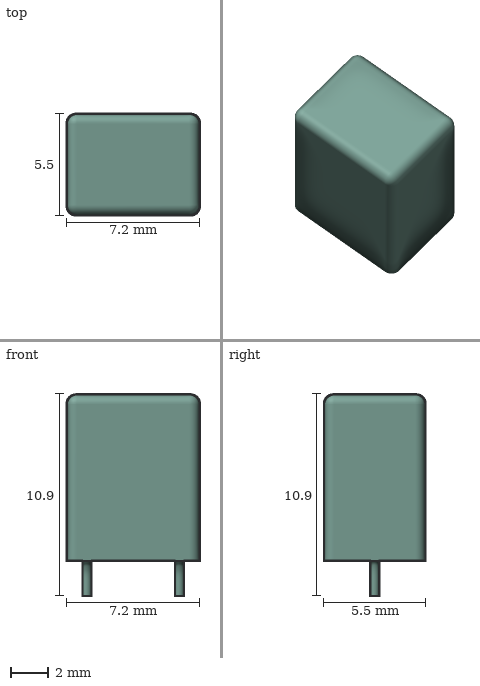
import cadquery as cq

body_width = 7.2
body_depth = 5.5
total_height = 10.9
edge_radius = 0.55

lead_length = 1.9
lead_diameter = 0.5
lead_pitch = 5.0

body_height = total_height - lead_length


def make_body():
    """Box standing on Z = 0, with every edge rounded except those of the base."""
    box = cq.Workplane("XY").box(body_width, body_depth, body_height, centered=(True, True, False))
    return box.edges("|Z or >Z").fillet(edge_radius)


def add_leads(body):
    """Leads run down from the base, evenly spaced about the centre along X."""
    lead_centres = [(side * lead_pitch / 2, 0) for side in (-1, 1)]
    leads = cq.Workplane("XY").pushPoints(lead_centres).circle(lead_diameter / 2).extrude(-lead_length)
    return body.union(leads)


result = add_leads(make_body())